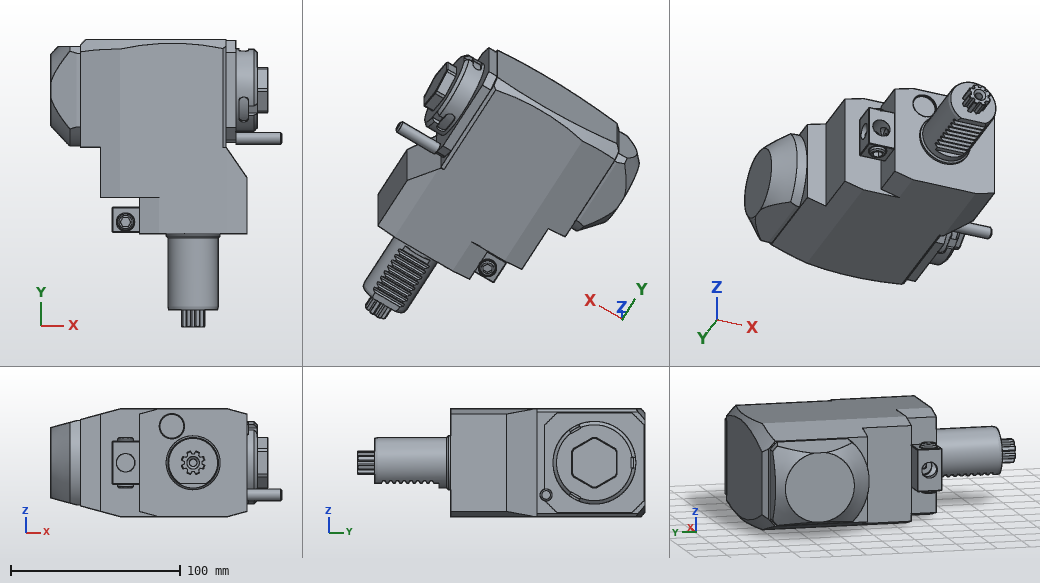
import cadquery as cq
import math


HALF_HEIGHT = 32.0
END_Y = 115.0
HEAD_Y = 51.2
FOOT_Y = 21.5
HEAD_LEFT_X = -66.6
NECK_LEFT_X = -54.9
FOOT_LEFT_X = -31.8
HEAD_RIGHT_X = 19.5
FOOT_RIGHT_X = 32.0
SHOULDER_Y = 33.2
END_CORNER_CUT = 3.2
HEAD_RIDGE_X = -43.0
FOOT_RIDGE_X = -20.0
RIGHT_RIDGE_X = 20.2
SIDE_SLOPE = 0.27
RIM_CUT = 2.0
CROWN_RADIUS = 141.1
CROWN_SPREAD = 0.85
CROWN_X = -12.0
CROWN_Y = 112.7

SPINDLE_Y = 85.0

CAP_RADIUS = 33.2
CAP_FACE_RADIUS = 21.0
CAP_FACE_X = -84.3
CAP_CONE_X = -73.0
CAP_STEP_X = -68.7
CAP_END_Y = 110.8

PLATE_RIGHT_X = 25.3
PLATE_SIDE = 58.8
PLATE_CORNER_CUT = 7.1

COLLAR_RADIUS = 24.5
COLLAR_RIGHT_X = 37.9
COLLAR_CUT = 2.0
COLLAR_SLOT_X = 30.0
COLLAR_SLOT_WIDTH = 5.6
COLLAR_SLOT_LENGTH = 17.0
COLLAR_SLOT_DEPTH = 1.4
COLLAR_KEY_WIDTH = 6.5
COLLAR_KEY_DEPTH = 2.7
COLLAR_SLOT_COUNT = 3
COLLAR_SLOT_ANGLE = 30

HEX_FLATS = 26.9
HEX_CORNERS = 30.0
HEX_RIGHT_X = 44.4
HEX_CUT = 0.5

PIN_RADIUS = 3.5
PIN_TAIL_RADIUS = 2.5
PIN_Y = 56.5
PIN_Z = -19.0
PIN_RIGHT_X = 52.5
PIN_CUT = 1.0

SHANK_RADIUS = 15.0
SHANK_END_Y = -44.9
SHANK_TAPER_LENGTH = 1.9
SHANK_TAPER_STEP = 0.5
RING_RADIUS = 16.0
RING_LENGTH = 2.4
RACK_Z = -12.2
RACK_START_Y = -7.0
RACK_FIRST_Y = -11.4
RACK_LAST_Y = -39.5
RACK_GROOVES = 8
RACK_DEPTH = 1.5
RACK_MOUTH = 3.0
RACK_ROOT = 1.2

SPLINE_END_Y = -55.0
SPLINE_TEETH = 8
SPLINE_TIP_RADIUS = 7.1
SPLINE_ROOT_RADIUS = 5.3
SPLINE_TIP_ANGLE = 9
SPLINE_ROOT_ANGLE = 15
SPLINE_CUT = 0.5
SPLINE_HOLE_RADIUS = 2.2
SPLINE_SINK_RADIUS = 3.7
SPLINE_HOLE_DEPTH = 8.5

PLUG_X = -12.5
PLUG_Z = 21.6
PLUG_RADIUS = 7.5
PLUG_DEPTH = 1.4
PLUG_FLOOR_CUT = 0.42

COOLANT_LEFT_X = -48.0
COOLANT_START_Y = 0.8
COOLANT_END_Y = 15.8
COOLANT_HALF_HEIGHT = 12.8
COOLANT_EDGE_CUT = 0.42
COOLANT_PORT_X = -40.0
SCREW_Y = 7.0
SCREW_RADIUS = 4.8
SCREW_SEAT_RADIUS = 5.5
SCREW_SEAT_DEPTH = 0.5
SCREW_TOP_Z = 14.8
SCREW_CUT = 0.8
SCREW_SOCKET_FLATS = 5.5
SCREW_SOCKET_DEPTH = 3.4
FRONT_PORT_RADIUS = 5.5
FRONT_PORT_DEPTH = 12.8
LEFT_PORT_Y = 8.3
LEFT_PORT_RADIUS = 4.8
LEFT_PORT_DEPTH = 13.6
LEFT_DUCT_RADIUS = 1.7
LEFT_DUCT_DEPTH = 15.3


def rod_x(x_start, x_end, radius, y=SPINDLE_Y, z=0.0):
    """Cylinder along X."""
    return cq.Workplane("YZ", origin=(x_start, y, z)).circle(radius).extrude(x_end - x_start)


def rod_y(y_start, y_end, radius, x=0.0, z=0.0):
    """Cylinder along Y, from y_start down to the lower y_end."""
    return cq.Workplane("XZ", origin=(x, y_start, z)).circle(radius).extrude(y_start - y_end)


def slope_z(x, ridge_x):
    """Height of a sloping top face at x, beyond the ridge where the slope begins."""
    return HALF_HEIGHT - SIDE_SLOPE * abs(x - ridge_x)


def sloped_prism(left_x, left_ridge_x, y_start, y_end):
    """Prism along Y whose top and bottom faces slope down towards both sides."""
    left_z = slope_z(left_x, left_ridge_x)
    right_z = slope_z(FOOT_RIGHT_X, RIGHT_RIDGE_X)
    upper = [
        (left_x, left_z),
        (left_ridge_x, HALF_HEIGHT),
        (RIGHT_RIDGE_X, HALF_HEIGHT),
        (FOOT_RIGHT_X, right_z),
    ]
    lower = [(x, -z) for x, z in reversed(upper)]
    plane = cq.Workplane("XZ", origin=(0, y_end, 0))
    return plane.polyline(upper + lower).close().extrude(y_end - y_start)


def make_housing():
    plan = [
        (FOOT_LEFT_X, 0),
        (FOOT_RIGHT_X, 0),
        (FOOT_RIGHT_X, SHOULDER_Y),
        (HEAD_RIGHT_X, HEAD_Y),
        (HEAD_RIGHT_X, END_Y),
        (HEAD_LEFT_X + END_CORNER_CUT, END_Y),
        (HEAD_LEFT_X, END_Y - END_CORNER_CUT),
        (HEAD_LEFT_X, HEAD_Y),
        (NECK_LEFT_X, HEAD_Y),
        (NECK_LEFT_X, FOOT_Y),
        (FOOT_LEFT_X, FOOT_Y),
    ]
    outline = cq.Workplane("XY").polyline(plan).close().extrude(HALF_HEIGHT, both=True)
    head = sloped_prism(HEAD_LEFT_X, HEAD_RIDGE_X, FOOT_Y, END_Y)
    foot = sloped_prism(FOOT_LEFT_X, FOOT_RIDGE_X, 0, FOOT_Y)
    body = outline.intersect(head.union(foot))

    crown = (
        cq.Workplane("XZ")
        .moveTo(0, -HALF_HEIGHT)
        .lineTo(CROWN_RADIUS, -HALF_HEIGHT)
        .lineTo(CROWN_RADIUS + CROWN_SPREAD * HALF_HEIGHT, 0)
        .lineTo(CROWN_RADIUS, HALF_HEIGHT)
        .lineTo(0, HALF_HEIGHT)
        .close()
        .revolve(360, (0, 0, 0), (0, 1, 0))
        .translate((CROWN_X, CROWN_Y - CROWN_RADIUS, 0))
    )
    body = body.intersect(crown)

    for side in (1, -1):
        rim = (
            cq.Workplane("XZ", origin=(0, END_Y, 0))
            .moveTo(HEAD_RIGHT_X - RIM_CUT, side * HALF_HEIGHT)
            .lineTo(HEAD_RIGHT_X, side * HALF_HEIGHT)
            .lineTo(HEAD_RIGHT_X, side * (HALF_HEIGHT - RIM_CUT))
            .close()
            .extrude(END_Y - HEAD_Y)
        )
        body = body.cut(rim)

    plug = rod_y(PLUG_DEPTH, 0, PLUG_RADIUS, PLUG_X, PLUG_Z).faces(">Y").chamfer(PLUG_FLOOR_CUT)
    return body.cut(plug)


def make_cap():
    """Round cap with a conical nose, flattened by the slopes of the housing."""
    cone_length = CAP_CONE_X - CAP_FACE_X
    cap = rod_x(CAP_FACE_X, HEAD_LEFT_X, CAP_RADIUS)
    cap = cap.faces("<X").chamfer(cone_length, CAP_RADIUS - CAP_FACE_RADIUS)

    face_z = slope_z(CAP_FACE_X, HEAD_RIDGE_X)
    step_z = slope_z(CAP_STEP_X, HEAD_RIDGE_X)
    upper = [(CAP_FACE_X, face_z), (CAP_STEP_X, step_z), (HEAD_LEFT_X, step_z)]
    lower = [(x, -z) for x, z in reversed(upper)]
    envelope = (
        cq.Workplane("XZ", origin=(0, CAP_END_Y, 0))
        .polyline(upper + lower)
        .close()
        .extrude(CAP_END_Y)
    )
    return cap.intersect(envelope)


def make_plate():
    plate = cq.Workplane("YZ", origin=(HEAD_RIGHT_X, SPINDLE_Y, 0)).rect(PLATE_SIDE, PLATE_SIDE)
    plate = plate.extrude(PLATE_RIGHT_X - HEAD_RIGHT_X)
    return plate.edges("|X").chamfer(PLATE_CORNER_CUT)


def make_collar():
    collar = rod_x(PLATE_RIGHT_X, COLLAR_RIGHT_X, COLLAR_RADIUS).faces(">X").chamfer(COLLAR_CUT)
    slot_floor = rod_x(PLATE_RIGHT_X, COLLAR_RIGHT_X, COLLAR_RADIUS - COLLAR_SLOT_DEPTH)
    slot = (
        cq.Workplane("XY", origin=(COLLAR_SLOT_X, SPINDLE_Y, 0))
        .slot2D(COLLAR_SLOT_LENGTH, COLLAR_SLOT_WIDTH, 90)
        .extrude(COLLAR_RADIUS)
        .cut(slot_floor)
    )
    key_start_x = COLLAR_SLOT_X + COLLAR_SLOT_WIDTH / 2
    key_length = COLLAR_RIGHT_X - key_start_x
    key = (
        cq.Workplane("XY", origin=(key_start_x + key_length / 2, SPINDLE_Y, COLLAR_RADIUS))
        .rect(key_length, COLLAR_KEY_WIDTH)
        .extrude(-COLLAR_KEY_DEPTH)
    )
    slot = slot.union(key)
    for i in range(COLLAR_SLOT_COUNT):
        angle = COLLAR_SLOT_ANGLE + i * 360 / COLLAR_SLOT_COUNT
        collar = collar.cut(slot.rotate((0, SPINDLE_Y, 0), (1, SPINDLE_Y, 0), angle))
    return collar


def hexagon_x(flats, turn):
    """Hexagonal prism along the spindle, with the given width across flats."""
    corner_diameter = flats / math.cos(math.pi / 6)
    prism = (
        cq.Workplane("YZ", origin=(COLLAR_RIGHT_X, SPINDLE_Y, 0))
        .polygon(6, corner_diameter)
        .extrude(HEX_RIGHT_X - COLLAR_RIGHT_X)
    )
    return prism.rotate((0, SPINDLE_Y, 0), (1, SPINDLE_Y, 0), turn)


def make_hex():
    """Spindle hexagon with flats at +Y and -Y and its corners cut off."""
    hexagon = hexagon_x(HEX_FLATS, 30).intersect(hexagon_x(HEX_CORNERS, 0))
    return hexagon.faces(">X").chamfer(HEX_CUT)


def make_pin():
    """Stop pin standing on the plate, with a thinner tail seated in the plate."""
    pin = rod_x(PLATE_RIGHT_X, PIN_RIGHT_X, PIN_RADIUS, PIN_Y, PIN_Z).faces(">X").chamfer(PIN_CUT)
    tail = rod_x(HEAD_RIGHT_X, PLATE_RIGHT_X, PIN_TAIL_RADIUS, PIN_Y, PIN_Z)
    return pin.union(tail)


def make_shank():
    shank = rod_y(0, SHANK_END_Y, SHANK_RADIUS)
    shank = shank.faces("<Y").chamfer(SHANK_TAPER_LENGTH, SHANK_TAPER_STEP)

    flat_height = SHANK_RADIUS + RACK_Z
    flat_length = RACK_START_Y - SHANK_END_Y
    flat = cq.Workplane("XY").box(2 * SHANK_RADIUS, flat_length, flat_height)
    flat_centre_y = (RACK_START_Y + SHANK_END_Y) / 2
    shank = shank.cut(flat.translate((0, flat_centre_y, RACK_Z - flat_height / 2)))

    groove = (
        cq.Workplane("YZ")
        .moveTo(-RACK_MOUTH / 2, RACK_Z)
        .lineTo(-RACK_ROOT / 2, RACK_Z + RACK_DEPTH)
        .lineTo(RACK_ROOT / 2, RACK_Z + RACK_DEPTH)
        .lineTo(RACK_MOUTH / 2, RACK_Z)
        .close()
        .extrude(SHANK_RADIUS, both=True)
    )
    pitch = (RACK_LAST_Y - RACK_FIRST_Y) / (RACK_GROOVES - 1)
    for i in range(RACK_GROOVES):
        shank = shank.cut(groove.translate((0, RACK_FIRST_Y + i * pitch, 0)))

    ring = rod_y(0, -RING_LENGTH, RING_RADIUS).faces("<Y").chamfer(RING_RADIUS - SHANK_RADIUS)
    return shank.union(ring)


def make_spline():
    corners = (
        (-SPLINE_ROOT_ANGLE, SPLINE_ROOT_RADIUS),
        (-SPLINE_TIP_ANGLE, SPLINE_TIP_RADIUS),
        (SPLINE_TIP_ANGLE, SPLINE_TIP_RADIUS),
        (SPLINE_ROOT_ANGLE, SPLINE_ROOT_RADIUS),
    )
    pitch = 360 / SPLINE_TEETH
    outline = []
    for i in range(SPLINE_TEETH):
        for offset, radius in corners:
            angle = math.radians((i + 0.5) * pitch + offset)
            outline.append((radius * math.cos(angle), radius * math.sin(angle)))
    length = SHANK_END_Y - SPLINE_END_Y
    spline = cq.Workplane("XZ", origin=(0, SHANK_END_Y, 0)).polyline(outline).close().extrude(length)
    blank = rod_y(SHANK_END_Y, SPLINE_END_Y, SPLINE_TIP_RADIUS).faces("<Y").chamfer(SPLINE_CUT)
    spline = spline.intersect(blank)

    hole = rod_y(SPLINE_END_Y + SPLINE_HOLE_DEPTH, SPLINE_END_Y, SPLINE_HOLE_RADIUS)
    sink = cq.Solid.makeCone(
        SPLINE_SINK_RADIUS,
        0,
        SPLINE_SINK_RADIUS,
        cq.Vector(0, SPLINE_END_Y, 0),
        cq.Vector(0, 1, 0),
    )
    return spline.cut(hole).cut(sink)


def make_coolant_block():
    width = FOOT_LEFT_X - COOLANT_LEFT_X
    depth = COOLANT_END_Y - COOLANT_START_Y
    block = cq.Workplane("XY").box(width, depth, 2 * COOLANT_HALF_HEIGHT)
    block = block.edges("<X or <Y or >Y").edges("not >X").chamfer(COOLANT_EDGE_CUT)
    block = block.translate(
        ((COOLANT_LEFT_X + FOOT_LEFT_X) / 2, (COOLANT_START_Y + COOLANT_END_Y) / 2, 0)
    )

    front_port = rod_y(
        COOLANT_START_Y + FRONT_PORT_DEPTH, COOLANT_START_Y, FRONT_PORT_RADIUS, COOLANT_PORT_X
    )
    left_port = rod_x(
        COOLANT_LEFT_X, COOLANT_LEFT_X + LEFT_PORT_DEPTH, LEFT_PORT_RADIUS, LEFT_PORT_Y
    )
    left_duct = rod_x(
        COOLANT_LEFT_X, COOLANT_LEFT_X + LEFT_DUCT_DEPTH, LEFT_DUCT_RADIUS, LEFT_PORT_Y
    )
    block = block.cut(front_port).cut(left_port).cut(left_duct)

    seat_z = COOLANT_HALF_HEIGHT - SCREW_SEAT_DEPTH
    screw_plane = cq.Workplane("XY", origin=(COOLANT_PORT_X, SCREW_Y, seat_z))
    seat = screw_plane.circle(SCREW_SEAT_RADIUS).extrude(SCREW_SEAT_DEPTH)
    head = screw_plane.circle(SCREW_RADIUS).extrude(SCREW_TOP_Z - seat_z)
    head = head.faces(">Z").chamfer(SCREW_CUT)
    socket = (
        cq.Workplane("XY", origin=(COOLANT_PORT_X, SCREW_Y, SCREW_TOP_Z))
        .polygon(6, SCREW_SOCKET_FLATS / math.cos(math.pi / 6))
        .extrude(-SCREW_SOCKET_DEPTH)
    )
    block = block.cut(seat).cut(seat.mirror("XY"))
    block = block.union(head).union(head.mirror("XY"))
    return block.cut(socket).cut(socket.mirror("XY"))


result = make_housing()
for piece in (
    make_cap(),
    make_plate(),
    make_collar(),
    make_hex(),
    make_pin(),
    make_shank(),
    make_spline(),
    make_coolant_block(),
):
    result = result.union(piece)